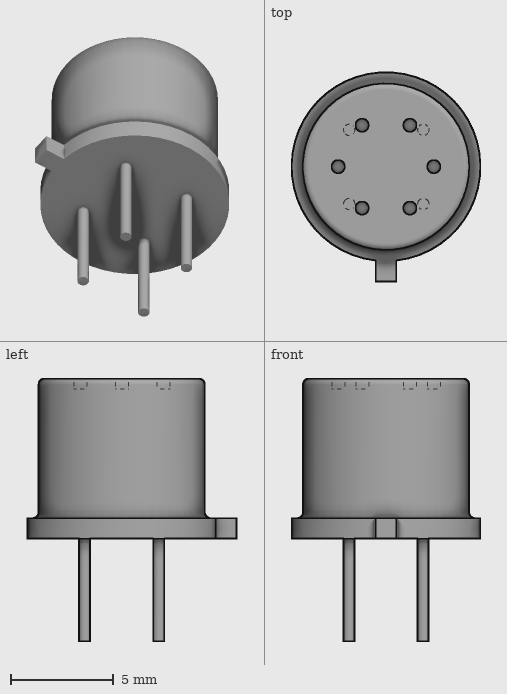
import cadquery as cq

total_height = 12.8
flange_diameter = 9.2
flange_thickness = 1.0
can_diameter = 8.1
pin_length = 5.0
edge_radius = 0.3

tab_width = 1.0
tab_length = 1.0

pin_diameter = 0.55
pin_offset = 1.8

vent_count = 6
vent_diameter = 0.64
vent_circle_radius = 2.33
vent_depth = 0.5

can_radius = can_diameter / 2
flange_radius = flange_diameter / 2
can_top = total_height - pin_length


def make_flange():
    """Round flange with a rectangular locating tab pointing towards -Y."""
    disc = cq.Workplane("XY").circle(flange_radius).extrude(flange_thickness)
    tab_reach = flange_radius + tab_length
    tab = (
        cq.Workplane("XY")
        .center(0, -tab_reach / 2)
        .rect(tab_width, tab_reach)
        .extrude(flange_thickness)
    )
    return disc.union(tab)


def make_can():
    """Can with a rounded top edge and a concave flare where it meets the flange."""
    flare_radius = can_radius + edge_radius
    top_face_radius = can_radius - edge_radius
    profile = (
        cq.Workplane("XZ")
        .moveTo(0, 0)
        .lineTo(flare_radius, 0)
        .lineTo(flare_radius, flange_thickness)
        .radiusArc((can_radius, flange_thickness + edge_radius), edge_radius)
        .lineTo(can_radius, can_top - edge_radius)
        .radiusArc((top_face_radius, can_top), -edge_radius)
        .lineTo(0, can_top)
        .close()
    )
    return profile.revolve(360, (0, 0), (0, 1))


def make_pins():
    """Four straight pins in a square pattern below the flange."""
    return (
        cq.Workplane("XY")
        .rect(2 * pin_offset, 2 * pin_offset, forConstruction=True)
        .vertices()
        .circle(pin_diameter / 2)
        .extrude(-pin_length)
    )


def make_vents():
    """Blind round holes on a circle in the top face."""
    return (
        cq.Workplane("XY")
        .workplane(offset=can_top)
        .polarArray(vent_circle_radius, 0, 360, vent_count)
        .circle(vent_diameter / 2)
        .extrude(-vent_depth)
    )


result = make_flange().union(make_can()).union(make_pins()).cut(make_vents())